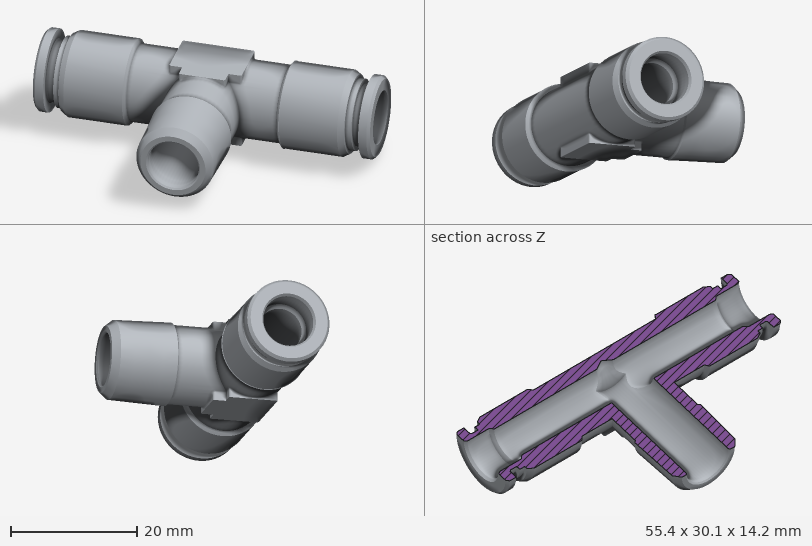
import cadquery as cq
import math


run_half_length = 27.7
branch_length = 23.0

body_radius = 6.3

flange_radius = 6.75
flange_width = 1.8
flange_chamfer = 0.45
neck_radius = 5.0
neck_root_radius = 5.2
neck_root_width = 0.25
ring_radius = 5.8
neck_end = 3.2
ring_end = 4.2

sleeve_radius = 7.0
sleeve_nose_radius = 6.4
sleeve_nose_end = 5.2
sleeve_inner_x = 12.85
sleeve_shoulder_radius = 6.6
sleeve_shoulder_x = 12.5
sleeve_foot_x = 12.3
sleeve_lip_radius = 7.095
sleeve_lip_width = 0.1

tube_radius = 4.1
tube_mouth_radius = 4.4
tube_mouth_depth = 0.5
tube_depth = 4.8
passage_radius = 3.5
tube_seat_length = 0.6

thread_radius = 6.65
thread_start = 12.5
thread_lead_in = 0.25
thread_chamfer_length = 1.2
thread_tip_radius = 5.35
thread_half_taper = 1 / 32

branch_bore_radius = 4.2
branch_mouth_radius = 4.45
branch_mouth_depth = 0.25
drill_tip_y = 4.5
drill_half_angle = math.radians(59)

pad_height = 6.5
pad_half_width = 5.95
pad_back_y = 4.0
pad_shoulder_y = -3.95
pad_tongue_half_width = 3.8
pad_front_y = -6.0
pad_tongue_back_y = -1.0
pad_corner_radius = 0.3
pad_foot_radius = 0.3


def turned(points):
    """Revolve an (axial, radius) outline, closed along the axis, about the X axis."""
    first, last = points[0][0], points[-1][0]
    side = [(x, -radius) for x, radius in points]
    outline = [(first, 0)] + side + [(last, 0)]
    return cq.Workplane("XY").polyline(outline).close().revolve(360, (0, 0, 0), (1, 0, 0))


def along_branch(solid):
    """Turn a solid lying along +X so that it lies along -Y."""
    return solid.rotate((0, 0, 0), (0, 0, 1), -90)


def run_end():
    """Sleeve and release collar at the +X end, without the lip."""
    end = run_half_length
    flange_back = end - flange_width
    return turned([
        (sleeve_foot_x, body_radius),
        (sleeve_shoulder_x, sleeve_shoulder_radius),
        (sleeve_inner_x, sleeve_radius),
        (end - sleeve_nose_end, sleeve_radius),
        (end - ring_end, sleeve_nose_radius),
        (end - ring_end, ring_radius),
        (end - neck_end, ring_radius),
        (end - neck_end, neck_radius),
        (flange_back - neck_root_width, neck_radius),
        (flange_back, neck_root_radius),
        (flange_back, flange_radius),
        (end - flange_chamfer, flange_radius),
        (end, flange_radius - flange_chamfer),
    ])


def sleeve_lip():
    """Small ridge at the inner edge of the +X sleeve."""
    return turned([
        (sleeve_shoulder_x, sleeve_shoulder_radius),
        (sleeve_inner_x, sleeve_lip_radius),
        (sleeve_inner_x + sleeve_lip_width, sleeve_radius),
    ])


def padded(cylinder, half_width, front_y, back_y):
    """Join a raised flat block to a lying cylinder, rounding its corners and its foot."""
    block = (
        cq.Workplane("XY")
        .box(2 * half_width, back_y - front_y, pad_height, centered=(True, False, False))
        .translate((0, front_y, 0))
        .edges("|Z")
        .fillet(pad_corner_radius)
    )
    reach = 2 * pad_foot_radius
    foot_zone = cq.selectors.BoxSelector(
        (-half_width - reach, front_y - reach, body_radius / 2),
        (half_width + reach, back_y + reach, (body_radius + pad_height) / 2),
        boundingbox=True,
    )
    return cylinder.union(block).edges(foot_zone).fillet(pad_foot_radius)


def tee_body():
    """Run and branch cylinders with the same T-shaped pad above and below the crossing."""
    run = turned([(-sleeve_inner_x, body_radius), (sleeve_inner_x, body_radius)])
    branch = along_branch(turned([(0, body_radius), (thread_start, body_radius)]))
    wide_pad = padded(run, pad_half_width, pad_shoulder_y, pad_back_y)
    tongue = padded(branch, pad_tongue_half_width, pad_front_y, pad_tongue_back_y)
    upper = wide_pad.union(tongue)
    return upper.union(upper.mirror("XY"))


def thread():
    """Tapered thread envelope at the branch end."""
    chamfer_start = branch_length - thread_chamfer_length
    small_radius = thread_radius - (chamfer_start - thread_start) * thread_half_taper
    return along_branch(turned([
        (thread_start - thread_lead_in, body_radius),
        (thread_start, thread_radius),
        (chamfer_start, small_radius),
        (branch_length, thread_tip_radius),
    ]))


def run_bore():
    """Stepped bore right through the run."""
    half = [
        (run_half_length - tube_depth - tube_seat_length, passage_radius),
        (run_half_length - tube_depth, tube_radius),
        (run_half_length - tube_mouth_depth, tube_radius),
        (run_half_length, tube_mouth_radius),
    ]
    return turned([(-x, radius) for x, radius in reversed(half)] + half)


def branch_bore():
    """Branch bore ending in a drill point beyond the run axis."""
    cone_base = branch_bore_radius / math.tan(drill_half_angle) - drill_tip_y
    return along_branch(
        cq.Workplane("XY")
        .polyline([
            (-drill_tip_y, 0),
            (cone_base, branch_bore_radius),
            (branch_length - branch_mouth_depth, branch_bore_radius),
            (branch_length, branch_mouth_radius),
            (branch_length, 0),
        ])
        .close()
        .revolve(360, (0, 0, 0), (1, 0, 0))
    )


plus_end = run_end()
outside = (
    tee_body()
    .union(plus_end)
    .union(plus_end.mirror("YZ"))
    .union(sleeve_lip())
    .union(thread())
)
result = outside.cut(run_bore()).cut(branch_bore())